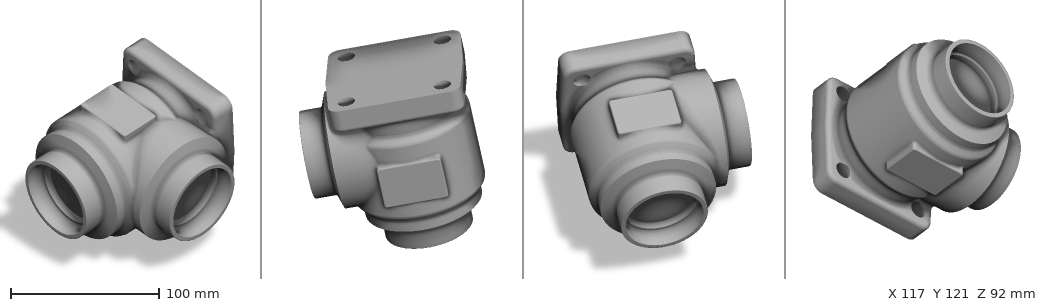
import cadquery as cq
import math

port_reach = 69.9
overall_length = 121.0
flange_back = overall_length - port_reach

flange_thickness = 17.0
flange_face = flange_back - flange_thickness
flange_half_height = 45.1
flange_blank_half_width = 47.1
flange_corner_half_width = 45.3
flange_outlet_half_width = 47.4
flange_corner_radius = 8.0
bolt_hole_diameter = 11.9
bolt_offset = 33.0
bolt_hole_depth = 21.2

casting_fillet = 3.0
neck_radius = 39.9
body_radius = 45.0
body_front = -38.0
body_back = 17.0

shoulder_radius = 40.2
spigot_radius = 30.1
shoulder_setback = 19.1
cone_angle = 20.0
spigot_root_fillet = 1.9
rim_fillet = 0.5
bore_radius = 27.0
bore_depth = 13.1
bore_foot_fillet = 0.5
seat_radius = 24.9
seat_depth = 18.4
branch_blend = 2.4

pad_width = 44.0
pad_length = 30.0
pad_center_y = -12.0
pad_top = 46.0
pad_base = 30.2
pad_corner_radius = 1.9
pad_top_fillet = 1.0
pad_root_fillet = 1.9

tolerance = 0.06
beyond = 121.0
edge_fractions = (0, 0.3, 0.5, 0.8, 1)


def make_port():
    """Shoulder, cone and spigot revolved about +X from the origin."""
    shoulder_x = port_reach - shoulder_setback
    cone_length = (shoulder_radius - spigot_radius) * math.tan(math.radians(cone_angle))
    spigot_x = shoulder_x + cone_length
    outline = [
        (0, 0),
        (port_reach, 0),
        (port_reach, spigot_radius),
        (spigot_x, spigot_radius),
        (shoulder_x, shoulder_radius),
        (0, shoulder_radius),
    ]
    port = cq.Workplane("XY").polyline(outline).close().revolve(360, (0, 0, 0), (1, 0, 0))
    spigot_root = cq.selectors.BoxSelector(
        (spigot_x - tolerance, -beyond, -beyond),
        (spigot_x + tolerance, beyond, beyond),
    )
    port = port.edges(spigot_root).fillet(spigot_root_fillet)
    return port.faces(">X").edges().fillet(rim_fillet)


def make_bore():
    """Stepped blind bore entering a port from its +X end."""
    mouth = cq.Workplane("YZ", origin=(port_reach, 0, 0))
    bore = mouth.circle(bore_radius).extrude(-bore_depth)
    bore = bore.faces("<X").edges().fillet(bore_foot_fillet)
    seat = mouth.circle(seat_radius).extrude(-seat_depth)
    return bore.union(seat)


def turn_to_front(shape):
    """Swing a port feature from the +X axis to the -Y axis."""
    return shape.rotate((0, 0, 0), (0, 0, 1), -90)


def make_flange():
    """Plate with slightly bulged sides, rounded corners and a rounded front edge."""
    outline = [
        (flange_outlet_half_width, 0),
        (flange_corner_half_width, flange_half_height),
        (-flange_corner_half_width, flange_half_height),
        (-flange_blank_half_width, 0),
        (-flange_corner_half_width, -flange_half_height),
        (flange_corner_half_width, -flange_half_height),
    ]
    plate = cq.Workplane("XZ", origin=(0, flange_back, 0)).polyline(outline).close()
    plate = plate.extrude(flange_thickness)
    for side in (">Z", "<Z"):
        plate = plate.faces(side).edges("|Y").fillet(flange_corner_radius)
    return plate.faces("<Y").edges().fillet(casting_fillet)


def make_body():
    """Neck and main cylinder with 45 degree steps, flared out to the flange."""
    front_step_y = body_front - (body_radius - shoulder_radius)
    back_step_y = body_back + (body_radius - neck_radius)
    front_end = front_step_y - casting_fillet
    body = (
        cq.Workplane("XY")
        .moveTo(0, front_end)
        .lineTo(shoulder_radius, front_end)
        .lineTo(shoulder_radius, front_step_y)
        .lineTo(body_radius, body_front)
        .lineTo(body_radius, body_back)
        .lineTo(neck_radius, back_step_y)
        .lineTo(neck_radius, flange_face - casting_fillet)
        .radiusArc((neck_radius + casting_fillet, flange_face), casting_fillet)
        .lineTo(0, flange_face)
        .close()
        .revolve(360, (0, 0, 0), (0, 1, 0))
    )
    step_corners = cq.selectors.BoxSelector(
        (-beyond, front_step_y - tolerance, -beyond),
        (beyond, back_step_y + tolerance, beyond),
    )
    return body.edges(step_corners).edges("%CIRCLE").fillet(casting_fillet)


def make_pad():
    pad = cq.Workplane("XY", origin=(0, pad_center_y, pad_base)).rect(pad_width, pad_length)
    pad = pad.extrude(pad_top - pad_base)
    pad = pad.edges("|Z").fillet(pad_corner_radius)
    return pad.faces(">Z").edges().fillet(pad_top_fillet)


def blend_branch(casting):
    """Round the edges where the outlet branch leaves the body and the flange."""
    shoulder_x = port_reach - shoulder_setback

    def on_branch(edge):
        points = [edge.positionAt(t) for t in edge_fractions]
        return all(
            0 < p.x < shoulder_x - tolerance
            and abs(math.hypot(p.y, p.z) - shoulder_radius) < tolerance
            for p in points
        )

    seam = [edge for edge in casting.edges().vals() if on_branch(edge)]
    return casting.newObject(seam).fillet(branch_blend)


def blend_pads(casting):
    """Round the edges where the pad walls run into the casting."""
    def on_pad_root(edge):
        middle = edge.positionAt(0.5)
        across = pad_width / 2 - abs(middle.x)
        along = pad_length / 2 - abs(middle.y - pad_center_y)
        in_outline = min(across, along) > -tolerance
        near_wall = min(across, along) < pad_corner_radius
        at_body = pad_base < abs(middle.z) < body_radius + tolerance
        return in_outline and near_wall and at_body and edge.geomType() != "LINE"

    roots = [edge for edge in casting.edges().vals() if on_pad_root(edge)]
    return casting.newObject(roots).fillet(pad_root_fillet)


port = make_port()
casting = make_body().union(turn_to_front(port)).union(make_flange()).union(port)
casting = blend_branch(casting)

pad = make_pad()
casting = casting.union(pad).union(pad.mirror("XY"))
casting = blend_pads(casting)

bore = make_bore()
bolt_holes = (
    cq.Workplane("XZ", origin=(0, flange_back, 0))
    .rect(2 * bolt_offset, 2 * bolt_offset, forConstruction=True)
    .vertices()
    .circle(bolt_hole_diameter / 2)
    .extrude(bolt_hole_depth)
)
result = casting.cut(bore).cut(turn_to_front(bore)).cut(bolt_holes)